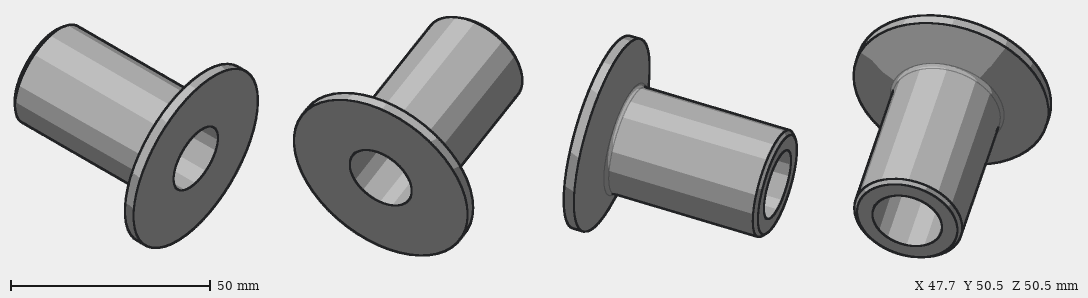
import cadquery as cq
import math

total_length = 47.7
tube_diameter = 28.0
bore_diameter = 18.0
flange_diameter = 50.5
rim_thickness = 2.8
flange_back_angle = 20.0
end_chamfer = 1.0
neck_fillet = 1.1

tube_radius = tube_diameter / 2
bore_radius = bore_diameter / 2
flange_radius = flange_diameter / 2
rim_start = total_length - rim_thickness
cone_length = (flange_radius - tube_radius) * math.tan(math.radians(flange_back_angle))
neck_position = rim_start - cone_length


def ferrule_body():
    """Tube with a conical-backed flange, revolved about the X axis."""
    profile = (
        cq.Workplane("XY")
        .moveTo(0, bore_radius)
        .lineTo(0, tube_radius - end_chamfer)
        .lineTo(end_chamfer, tube_radius)
        .lineTo(neck_position, tube_radius)
        .lineTo(rim_start, flange_radius)
        .lineTo(total_length, flange_radius)
        .lineTo(total_length, bore_radius)
        .close()
    )
    return profile.revolve(360, (0, 0, 0), (1, 0, 0))


def round_neck(body):
    """Fillet the circular corner where the tube meets the conical back."""
    margin = neck_fillet / 2
    neck_box = cq.selectors.BoxSelector(
        (neck_position - margin, -flange_radius, -flange_radius),
        (neck_position + margin, flange_radius, flange_radius),
    )
    return body.edges("%CIRCLE").edges(neck_box).fillet(neck_fillet)


result = round_neck(ferrule_body())